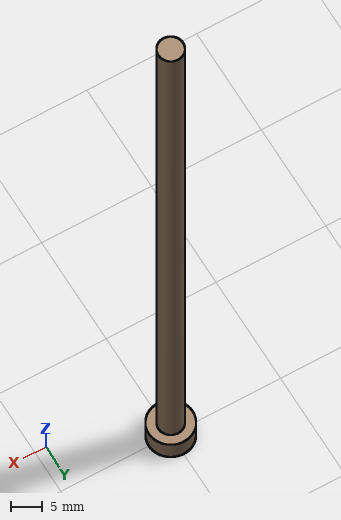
import cadquery as cq

total_length = 125.0
head_diameter = 8.0
head_height = 4.0
shank_diameter = 4.5
shank_length = total_length - head_height

head = cq.Workplane("XY").circle(head_diameter / 2).extrude(head_height)
result = head.faces(">Z").workplane().circle(shank_diameter / 2).extrude(shank_length)